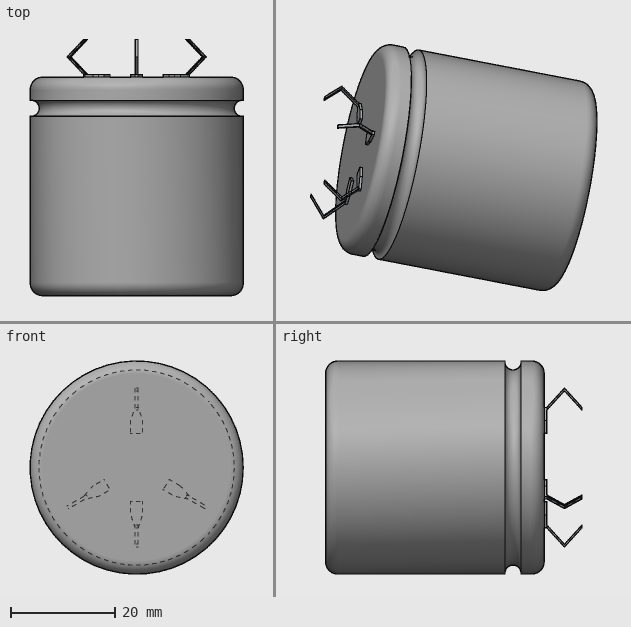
import cadquery as cq
import math

total_length = 49.3
can_diameter = 41.0
can_length = 42.05
rim_fillet = 2.4

groove_position = 36.05
groove_radius = 1.55
groove_center_inset = 0.2

terminal_angles = (90, 210, 270, 330)
pad_center_radius = 9.05
pad_length = 5.05
pad_width = 2.25
pad_thickness = 0.5
lead_width = 0.6
lead_thickness = 0.4
lead_peak_radius = 15.3

can_radius = can_diameter / 2
pad_top = can_length + pad_thickness
pad_inner_radius = pad_center_radius - pad_length / 2
pad_outer_radius = pad_center_radius + pad_length / 2


def make_can():
    """Round can lying along Y, front face at Y = 0, with both rims rounded."""
    can = cq.Workplane("XZ").circle(can_radius).extrude(-can_length)
    return can.edges().fillet(rim_fillet)


def make_groove():
    """Ring of round section that cuts the crimp groove."""
    ring_radius = can_radius - groove_center_inset
    section = cq.Workplane("XY").center(ring_radius, groove_position).circle(groove_radius)
    return section.revolve(360, (-ring_radius, 0, 0), (-ring_radius, 1, 0))


def make_pad():
    """Flat pad with a square inner half and an outer half tapering to the lead width."""
    half_width = pad_width / 2
    return (
        cq.Workplane("XZ", origin=(0, can_length, 0))
        .moveTo(pad_inner_radius, -half_width)
        .lineTo(pad_center_radius, -half_width)
        .lineTo(pad_outer_radius, -lead_width / 2)
        .lineTo(pad_outer_radius, lead_width / 2)
        .lineTo(pad_center_radius, half_width)
        .lineTo(pad_inner_radius, half_width)
        .close()
        .extrude(-pad_thickness)
    )


def make_lead():
    """V-bent lead that leans outward from the pad's outer end and back in."""
    radial_thickness = lead_thickness * math.sqrt(2)
    peak_position = (pad_top + total_length) / 2
    inner_radius = pad_outer_radius - radial_thickness
    return (
        cq.Workplane("XY", origin=(0, 0, -lead_width / 2))
        .moveTo(inner_radius, can_length)
        .lineTo(pad_outer_radius, can_length)
        .lineTo(pad_outer_radius, pad_top)
        .lineTo(lead_peak_radius, peak_position)
        .lineTo(pad_outer_radius, total_length)
        .lineTo(inner_radius, total_length)
        .lineTo(lead_peak_radius - radial_thickness, peak_position)
        .lineTo(inner_radius, pad_top)
        .close()
        .extrude(lead_width)
    )


terminal = make_pad().union(make_lead())

result = make_can().cut(make_groove())
for angle in terminal_angles:
    result = result.union(terminal.rotate((0, 0, 0), (0, -1, 0), angle))